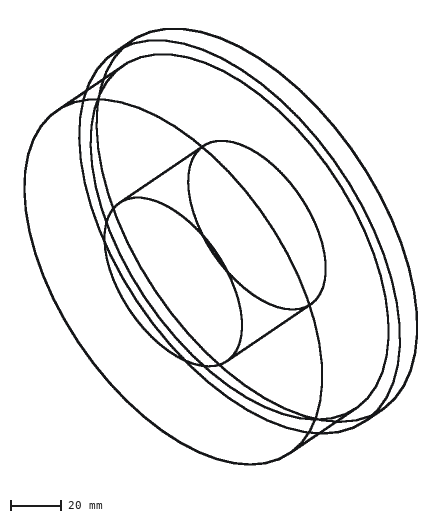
import cadquery as cq

flange_diameter = 177.8
flange_thickness = 10.0
body_diameter = 165.2
body_length = 38.0
bore_diameter = 76.3
tilt_angle = 11.8

total_length = flange_thickness + body_length


def cylinder_toward_minus_y(diameter, length):
    """Cylinder on the Y axis, from the outer flange face at Y = 0 toward -Y."""
    return cq.Workplane("XZ").circle(diameter / 2).extrude(length)


flange = cylinder_toward_minus_y(flange_diameter, flange_thickness)
body = cylinder_toward_minus_y(body_diameter, total_length)
bore = cylinder_toward_minus_y(bore_diameter, total_length)

straight_ring = flange.union(body).cut(bore)

result = straight_ring.rotate((0, 0, 0), (1, 0, 0), tilt_angle)